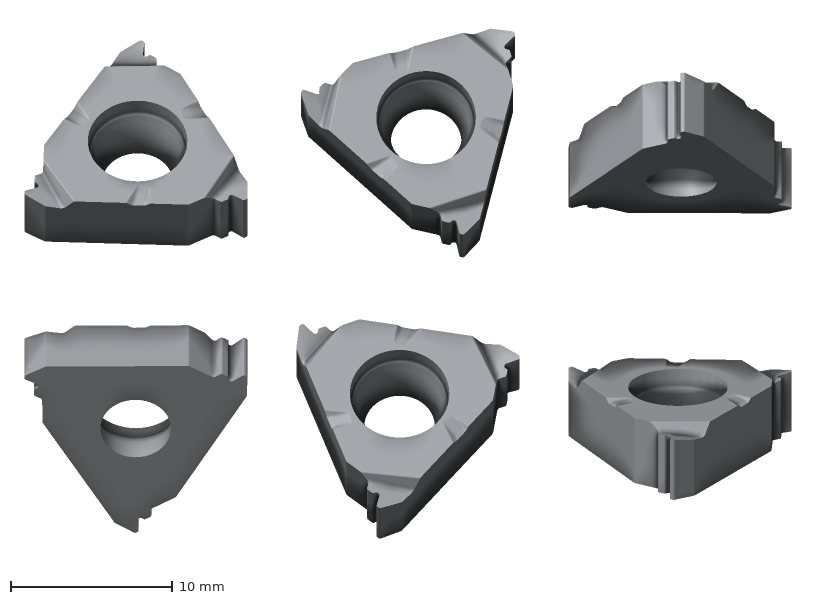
import cadquery as cq
import math

THICKNESS = 4.34
SIDE_DISTANCE = 4.77
TIP_COUNT = 3

SHOULDER_Y = 5.57
CREST_Y = 6.89
VALLEY_Y = 6.04
BUMP_Y = 6.29
RELIEF_Y = 5.8

SIDE_CORNER_RADIUS = 0.21
LEADING_CREST_RADIUS = 0.17
TRAILING_CREST_RADIUS = 0.11

TOOTH = [
    (-SIDE_DISTANCE, SHOULDER_Y, SIDE_CORNER_RADIUS),
    (-4.07, CREST_Y, LEADING_CREST_RADIUS),
    (-3.81, CREST_Y, TRAILING_CREST_RADIUS),
    (-3.4, VALLEY_Y, 0.17),
    (-3.17, VALLEY_Y, 0.15),
    (-3.04, BUMP_Y, 0.11),
    (-2.55, BUMP_Y, 0.15),
    (-2.29, RELIEF_Y, 0.22),
]
NEXT_SIDE_NORMAL = math.radians(180 - 360 / TIP_COUNT)
RELIEF_END_X = (SIDE_DISTANCE - RELIEF_Y * math.sin(NEXT_SIDE_NORMAL)) / math.cos(NEXT_SIDE_NORMAL)
TOOTH.append((RELIEF_END_X, RELIEF_Y, SIDE_CORNER_RADIUS))

BORE_RADIUS = 4.4 / 2
MOUTH_RADIUS = 3.09
MOUTH_END_RADIUS = 3.01
MOUTH_DEPTH = 1.01
SEAT_TOP_RADIUS = 2.88
SEAT_TOP_DEPTH = 1.23
SEAT_ARC_RADIUS = 4.2

RAKE_X = 6.21
RAKE_Y = 0.46
RAKE_DEPTH = 0.67
RAKE_TURN = 1.0
RAKE_FALL = 0.1
FLOOR_RISE = 0.16
WALL_ANGLE = 55
RAKE_FILLET = 0.33
WALL_TOP_RADIUS = 0.12
RAKE_REACH = 2.77
RAKE_HEIGHT = 1.11

NOTCH_DEPTH = 0.24
NOTCH_LENGTH = 1.37
NOTCH_Y = -0.25
NOTCH_TURN = 12.7
NOTCH_FLOOR_WIDTH = 0.79
NOTCH_WALL_ANGLE = 35
NOTCH_FILLET = 0.32
NOTCH_HEIGHT = 0.55
NOTCH_OVERRUN = 0.55
NOTCH_RIM_RADIUS = 0.14


def toward(start, end, distance):
    """Point at a distance from start on the line to end."""
    ratio = distance / math.dist(start, end)
    return tuple(a + (b - a) * ratio for a, b in zip(start, end))


def rounded_outline(plane, corners):
    """Closed wire of straight lines through (x, y, radius) corners, with tangent arcs."""
    wire = cq.Workplane(plane)
    started = False
    for index, (x, y, radius) in enumerate(corners):
        corner = (x, y)
        before = corners[index - 1][:2]
        after = corners[(index + 1) % len(corners)][:2]
        to_before = toward(corner, before, 0.14)
        to_after = toward(corner, after, 0.14)
        half_angle = math.asin(math.dist(to_before, to_after) / 0.28)
        tangent_length = radius / math.tan(half_angle)
        arc_start = toward(corner, before, tangent_length)
        wire = wire.lineTo(*arc_start) if started else wire.moveTo(*arc_start)
        started = True
        if radius > 0:
            middle_of_ends = ((to_before[0] + to_after[0]) / 2, (to_before[1] + to_after[1]) / 2)
            arc_middle = toward(corner, middle_of_ends, radius / math.sin(half_angle) - radius)
            wire = wire.threePointArc(arc_middle, toward(corner, after, tangent_length))
    return wire.close()


def rotated(x, y, degrees):
    """Point turned about the hole axis."""
    cosine = math.cos(math.radians(degrees))
    sine = math.sin(math.radians(degrees))
    return (x * cosine - y * sine, x * sine + y * cosine)


def tip_angles():
    """Turns that carry one tip's features onto every tip, in outline order."""
    return [-360 / TIP_COUNT * index for index in range(TIP_COUNT)]


def blank():
    corners = [(*rotated(x, y, angle), radius) for angle in tip_angles() for x, y, radius in TOOTH]
    return rounded_outline("XY", corners).extrude(THICKNESS)


def screw_hole():
    seat_center_radius = BORE_RADIUS + SEAT_ARC_RADIUS
    seat_angle = math.acos((seat_center_radius - SEAT_TOP_RADIUS) / SEAT_ARC_RADIUS)
    seat_top_z = THICKNESS - SEAT_TOP_DEPTH
    seat_end_z = seat_top_z - SEAT_ARC_RADIUS * math.sin(seat_angle)
    seat_middle = (
        seat_center_radius - SEAT_ARC_RADIUS * math.cos(seat_angle / 2),
        seat_end_z + SEAT_ARC_RADIUS * math.sin(seat_angle / 2),
    )
    return (
        cq.Workplane("XZ")
        .moveTo(0, THICKNESS)
        .lineTo(MOUTH_RADIUS, THICKNESS)
        .lineTo(MOUTH_END_RADIUS, THICKNESS - MOUTH_DEPTH)
        .tangentArcPoint((SEAT_TOP_RADIUS, seat_top_z), relative=False)
        .threePointArc(seat_middle, (BORE_RADIUS, seat_end_z))
        .lineTo(BORE_RADIUS, 0)
        .lineTo(0, 0)
        .close()
        .revolve(360, (0, 0), (0, 1))
    )


def rake_pocket():
    turn = math.radians(RAKE_TURN)
    plane = cq.Plane(
        origin=(RAKE_X, RAKE_Y, THICKNESS - RAKE_DEPTH),
        xDir=(math.cos(turn), -math.sin(turn), 0),
        normal=(-math.sin(turn), -math.cos(turn), RAKE_FALL),
    )
    wall_run = RAKE_HEIGHT / math.tan(math.radians(WALL_ANGLE))
    corners = [
        (0, 0, RAKE_FILLET),
        (RAKE_REACH, RAKE_REACH * FLOOR_RISE, 0),
        (RAKE_REACH, RAKE_HEIGHT, 0),
        (-wall_run, RAKE_HEIGHT, 0),
    ]
    return rounded_outline(plane, corners).extrude(RAKE_REACH, both=True)


def side_notch():
    turn = math.radians(NOTCH_TURN)
    rise = NOTCH_DEPTH / NOTCH_LENGTH
    start = (-SIDE_DISTANCE, NOTCH_Y, THICKNESS - NOTCH_DEPTH)
    along = cq.Vector(math.cos(turn), -math.sin(turn), rise)
    plane = cq.Plane(
        origin=(cq.Vector(*start) - along * NOTCH_OVERRUN).toTuple(),
        xDir=(math.sin(turn), math.cos(turn), 0),
        normal=along.toTuple(),
    )
    half_floor = NOTCH_FLOOR_WIDTH / 2
    half_top = half_floor + NOTCH_HEIGHT / math.tan(math.radians(NOTCH_WALL_ANGLE))
    corners = [
        (-half_floor, 0, NOTCH_FILLET),
        (half_floor, 0, NOTCH_FILLET),
        (half_top, NOTCH_HEIGHT, 0),
        (-half_top, NOTCH_HEIGHT, 0),
    ]
    return rounded_outline(plane, corners).extrude(2 * NOTCH_LENGTH)


def cut_at_each_tip(body, cutter):
    for angle in tip_angles():
        body = body.cut(cutter.rotate((0, 0, 0), (0, 0, 1), angle))
    return body


def round_top_edges(body, x, y, radius):
    """Round the top-face edge nearest to a point, and its copy at each tip."""
    for angle in tip_angles():
        nearest = cq.selectors.NearestToPointSelector((*rotated(x, y, angle), THICKNESS))
        body = body.faces(">Z").edges(nearest).fillet(radius)
    return body


rake_wall_top_x = RAKE_X - RAKE_DEPTH / math.tan(math.radians(WALL_ANGLE))
notch_end_x = -SIDE_DISTANCE + NOTCH_LENGTH * math.cos(math.radians(NOTCH_TURN))
notch_end_y = NOTCH_Y - NOTCH_LENGTH * math.sin(math.radians(NOTCH_TURN))

result = cut_at_each_tip(blank(), rake_pocket())
result = round_top_edges(result, rake_wall_top_x, RAKE_Y, WALL_TOP_RADIUS)
result = cut_at_each_tip(result, side_notch())
result = round_top_edges(result, notch_end_x, notch_end_y, NOTCH_RIM_RADIUS)
result = result.cut(screw_hole())